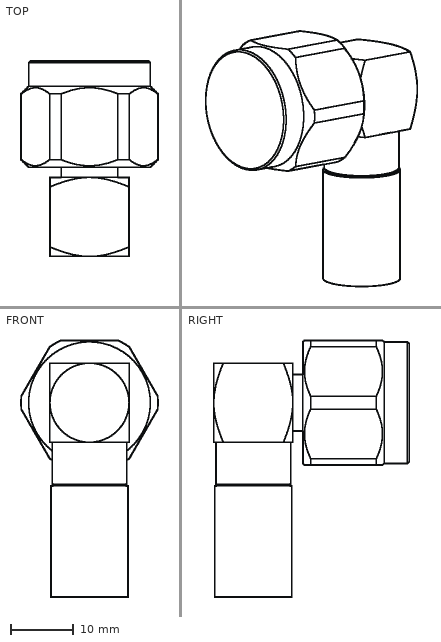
import cadquery as cq
import math

hex_across_flats = 20.0
hex_across_corners = 21.97
hex_length = 13.0
sleeve_diameter = 19.5
sleeve_length = 4.05
sleeve_chamfer = 0.3

neck_diameter = 9.1
neck_length = 1.6

block_side = 12.67
block_turning_angle = 30

stem_diameter = 12.0
undercut_diameter = 11.73
undercut_height = 0.3
ferrule_diameter = 12.4
ferrule_length = 17.8

overall_height = 41.15
top_z = hex_across_flats / 2
bottom_z = top_z - overall_height
ferrule_top_z = bottom_z + ferrule_length
undercut_top_z = ferrule_top_z + undercut_height
block_back_y = block_side / 2
hex_front_y = block_back_y + neck_length
hex_back_y = hex_front_y + hex_length
sleeve_back_y = hex_back_y + sleeve_length


def cylinder_along_y(diameter, start_y, end_y):
    profile = cq.Workplane("XZ", origin=(0, start_y, 0)).circle(diameter / 2)
    return profile.extrude(start_y - end_y)


def cylinder_along_z(diameter, start_z, end_z):
    return cq.Workplane("XY", origin=(0, 0, start_z)).circle(diameter / 2).extrude(end_z - start_z)


def turned_blank(front_y, back_y, end_diameter, full_diameter, cone_length):
    """Round bar along Y with a cone turned on each end."""
    end_radius = end_diameter / 2
    full_radius = full_diameter / 2
    half_section = [
        (0, front_y),
        (end_radius, front_y),
        (full_radius, front_y + cone_length),
        (full_radius, back_y - cone_length),
        (end_radius, back_y),
        (0, back_y),
    ]
    return cq.Workplane("XY").polyline(half_section).close().revolve(360, (0, 0, 0), (0, 1, 0))


def make_nut():
    sharp_corner_diameter = hex_across_flats / math.cos(math.radians(30))
    hexagon = (
        cq.Workplane("XZ", origin=(0, hex_front_y, 0))
        .polygon(6, sharp_corner_diameter)
        .extrude(-hex_length)
    )
    cone_length = (hex_across_corners - sleeve_diameter) / 2
    blank = turned_blank(hex_front_y, hex_back_y, sleeve_diameter, hex_across_corners, cone_length)
    sleeve = cylinder_along_y(sleeve_diameter, hex_back_y, sleeve_back_y).faces(">Y").chamfer(sleeve_chamfer)
    return hexagon.intersect(blank).union(sleeve)


def make_block():
    cube = cq.Workplane("XY").box(block_side, block_side, block_side)
    corner_diameter = block_side * math.sqrt(2)
    cone_length = (corner_diameter - block_side) / 2 * math.tan(math.radians(block_turning_angle))
    blank = turned_blank(-block_back_y, block_back_y, block_side, corner_diameter, cone_length)
    return cube.intersect(blank)


def make_cable_leg():
    ferrule = cylinder_along_z(ferrule_diameter, bottom_z, ferrule_top_z)
    undercut = cylinder_along_z(undercut_diameter, ferrule_top_z, undercut_top_z)
    stem = cylinder_along_z(stem_diameter, undercut_top_z, 0)
    return ferrule.union(undercut).union(stem)


neck = cylinder_along_y(neck_diameter, 0, hex_front_y)
result = make_block().union(neck).union(make_nut()).union(make_cable_leg())